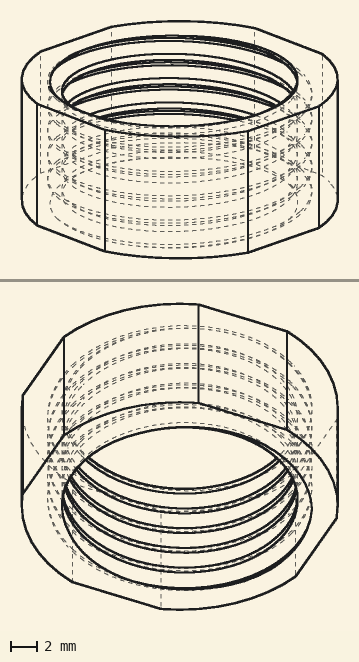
import cadquery as cq
import math

width = 23.0
height = 10.0
flat_length = 7.5
body_radius = math.hypot(width / 2, flat_length / 2)

bore_radius = 18.03 / 2
root_radius = 20.25 / 2
turns_in_body = 5
pitch = height / turns_in_body
crest_width = pitch / 4
root_width = pitch / 8
groove_width = pitch - crest_width
bore_overlap = 0.23
groove_start_angle = -90.0


def make_body():
    bar = cq.Workplane("XY").circle(body_radius).extrude(height)
    square = cq.Workplane("XY").rect(width, width).extrude(height)
    return bar.intersect(square)


def make_bore():
    return cq.Workplane("XY").circle(bore_radius).extrude(height)


def make_thread_groove():
    """Helical cutter that runs one turn past each end of the body."""
    helix_length = height + 2 * pitch
    path = cq.Wire.makeHelix(pitch, helix_length, bore_radius)
    flank_slope = (groove_width - root_width) / 2 / (root_radius - bore_radius)
    inner_radius = bore_radius - bore_overlap
    inner_half_width = groove_width / 2 + bore_overlap * flank_slope
    groove = (
        cq.Workplane("XZ")
        .moveTo(inner_radius, -inner_half_width)
        .lineTo(root_radius, -root_width / 2)
        .lineTo(root_radius, root_width / 2)
        .lineTo(inner_radius, inner_half_width)
        .close()
        .sweep(path, isFrenet=True)
    )
    return groove.rotate((0, 0, 0), (0, 0, 1), groove_start_angle).translate((0, 0, -pitch))


result = make_body().cut(make_thread_groove()).cut(make_bore())